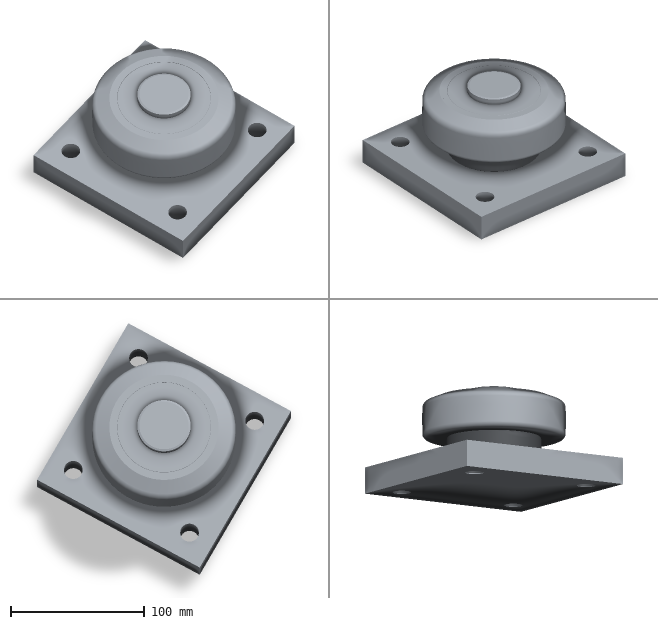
import cadquery as cq
import math

plate_side = 140.0
plate_thickness = 20.0
bolt_hole_diameter = 14.0
bolt_spacing = 100.0

hub_top = 38.2
roller_bottom = 38.7
roller_top = 70.0
overall_height = 75.0

roller_diameter = 107.9
crown_radius = 500.0
crown_bottom = 41.9
crown_top = 61.8
bottom_edge_fillet = crown_bottom - roller_bottom
shoulder_diameter = 101.0
shoulder_height = 66.2
rim_diameter = 82.0
roller_bore_diameter = 79.0

hub_diameter = 71.0
cap_diameter = 70.5
small_chamfer = 0.25
cap_thickness = 4.0
cap_bottom = roller_top - cap_thickness

pin_diameter = 40.0
pin_chamfer_width = 1.5
pin_chamfer_height = 0.5


def disc(diameter, bottom, top):
    """Upright cylinder on the Z axis."""
    return cq.Workplane("XY").workplane(offset=bottom).circle(diameter / 2).extrude(top - bottom)


def ring(outer_diameter, inner_diameter, bottom, top):
    """Upright tube on the Z axis."""
    return disc(outer_diameter, bottom, top).cut(disc(inner_diameter, bottom, top))


def make_plate():
    """Square plate with a through hole near each corner."""
    plate = cq.Workplane("XY").box(
        plate_side, plate_side, plate_thickness, centered=(True, True, False)
    )
    return (
        plate.faces(">Z").workplane()
        .rect(bolt_spacing, bolt_spacing, forConstruction=True)
        .vertices().hole(bolt_hole_diameter)
    )


def make_hub():
    """Round pedestal standing on the plate, lightly chamfered at both ends."""
    return disc(hub_diameter, plate_thickness, hub_top).edges().chamfer(small_chamfer)


def make_core():
    """Inner part that fills the roller bore below the cap and rests on the hub through a spigot."""
    spigot = disc(hub_diameter - 2 * small_chamfer, hub_top, roller_bottom)
    return disc(roller_bore_diameter, roller_bottom, cap_bottom).union(spigot)


def make_roller():
    """Revolved tyre whose upper rounding runs smoothly out of the crowned face."""
    crown_half_height = (crown_top - crown_bottom) / 2
    crown_middle = (crown_top + crown_bottom) / 2
    crown_sag = crown_radius - math.sqrt(crown_radius**2 - crown_half_height**2)
    middle_radius = roller_diameter / 2
    edge_radius = middle_radius - crown_sag
    fillet_inset = bottom_edge_fillet * (1 - math.sqrt(0.5))
    return (
        cq.Workplane("XZ")
        .moveTo(roller_bore_diameter / 2, roller_bottom)
        .lineTo(edge_radius - bottom_edge_fillet, roller_bottom)
        .threePointArc(
            (edge_radius - fillet_inset, roller_bottom + fillet_inset),
            (edge_radius, crown_bottom),
        )
        .threePointArc((middle_radius, crown_middle), (edge_radius, crown_top))
        .tangentArcPoint((shoulder_diameter / 2, shoulder_height), relative=False)
        .lineTo(rim_diameter / 2, roller_top)
        .lineTo(roller_bore_diameter / 2, roller_top)
        .close()
        .revolve(360, (0, 0, 0), (0, 1, 0))
    )


def make_seal():
    """Flat ring between the roller and the cap."""
    return ring(roller_bore_diameter, cap_diameter, cap_bottom, roller_top)


def make_cap():
    """Round cover with a chamfered upper rim and a hole for the pin."""
    cover = disc(cap_diameter, cap_bottom, roller_top).faces(">Z").edges().chamfer(small_chamfer)
    return cover.cut(disc(pin_diameter, cap_bottom, roller_top))


def make_pin():
    """Pin standing on the core and rising through the cap, with a shallow top chamfer."""
    pin = disc(pin_diameter, cap_bottom, overall_height)
    return pin.faces(">Z").chamfer(pin_chamfer_height, pin_chamfer_width)


plate = make_plate()
hub = make_hub()
core = make_core()
roller = make_roller()
seal = make_seal()
cap = make_cap()
pin = make_pin()

result = cq.Compound.makeCompound([
    plate.val(),
    hub.val(),
    core.val(),
    roller.val(),
    seal.val(),
    cap.val(),
    pin.val(),
])